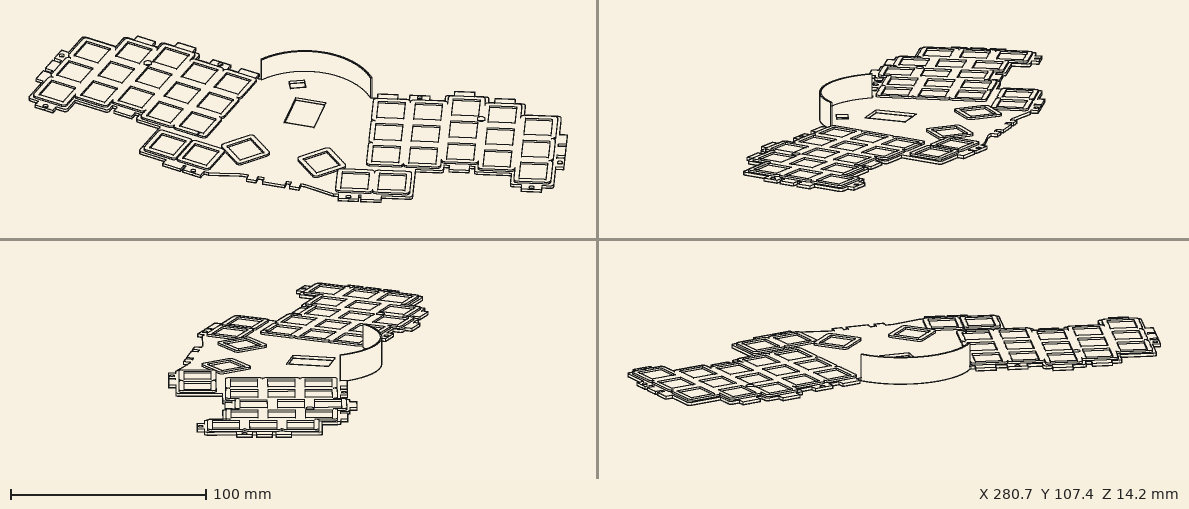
import cadquery as cq
import math

PLATE_TOP = 1.6
PAD_TOP = 2.6
WALL_TOP = 14.2

PITCH = 19.05
ROWS = 3
STAGGER = [0, 0.5 * PITCH, 0.75 * PITCH, 0.5 * PITCH, 0.5 * PITCH]
COLUMNS = [(column * PITCH, rise) for column, rise in enumerate(STAGGER)]
THUMB_KEYS = [(3.75 * PITCH, -0.75 * PITCH), (4.75 * PITCH, -0.75 * PITCH)]
MAIN_KEYS = [(u, v + row * PITCH) for u, v in COLUMNS for row in range(ROWS)]

CELL_HALF = PITCH / 2 + 1.6
CELL_SIZE = 2 * CELL_HALF
CELL_RADIUS = 1.6
PAD_RADIUS = 2.0
POCKET_SIZE = 13.9
THUMB_GROOVE_WIDTH = 0.5

WING_TILT = 12.0
WING_ORIGIN = (-126.57, -4.85)

TAB_LENGTH = 10.4
TAB_REACH = 3.66
SIDE_TAB_LENGTH = 8.0
SIDE_TAB_REACH = 4.12
SIDE_TAB_CENTERS = [29.5, 19.6, 9.4]
TOP_TAB_CENTERS = [(1, 18.6), (2, 39.6), (3, 62.3), (4, 78.7)]
BOTTOM_TAB_COLUMNS = [0, 2]
THUMB_TAB_CENTERS = [81.4, 93.0]
TAB_HOLE_DIAMETER = 2.5
TAB_HOLE_INSET = 1.9
MOUNT_HOLE_DIAMETER = 4.0
MOUNT_HOLE = (29.6, 43.0)

ARC_RADIUS = 37.1
ARC_CENTER_Y = 12.4
ARC_END_X = 29.6
WALL_THICKNESS = 0.8
LOWER_EDGE_Y = -46.8
LOWER_EDGE_HALF = 17.0
LOWER_TAB_Y = -50.4
LOWER_TABS = [(-13.1, -8.0), (-4.7, 7.2), (9.7, 14.8)]
WINDOW_SIZE = (16.0, 22.0)
WINDOW_CENTER_Y = 13.1
SLOT_SIZE = (8.0, 6.0)
SLOT_ANGLE = 23.5
SLOT_CENTER = (-10.3, 35.6)
DIAMOND_CENTER = (20.3, -27.0)
DIAMOND_TURN = 45.0


def block(u0, u1, v0, v1, top=PLATE_TOP):
    """Box between two corners, standing on the bottom plane."""
    return cq.Workplane("XY").box(u1 - u0, v1 - v0, top, centered=False).translate((u0, v0, 0))


def rounded_squares(centers, size, radius, top):
    """Union of square blocks with rounded upright edges."""
    square = cq.Workplane("XY").rect(size, size).extrude(top).edges("|Z").fillet(radius)
    shapes = [square.translate((u, v, 0)) for u, v in centers]
    joined = shapes[0]
    for shape in shapes[1:]:
        joined = joined.union(shape)
    return joined


def place(shape):
    """Carry a shape from the wing frame to the left wing."""
    turned = shape.rotate((0, 0, 0), (0, 0, 1), -WING_TILT)
    return turned.translate((WING_ORIGIN[0], WING_ORIGIN[1], 0))


def placed_point(u, v):
    """Part coordinates of a point of the left wing."""
    tilt = math.radians(WING_TILT)
    x = WING_ORIGIN[0] + u * math.cos(tilt) + v * math.sin(tilt)
    y = WING_ORIGIN[1] - u * math.sin(tilt) + v * math.cos(tilt)
    return x, y


def wing_tabs():
    """Rectangular joint tabs on the outer, upper and lower edges of a wing."""
    tabs = []
    half = TAB_LENGTH / 2
    side_half = SIDE_TAB_LENGTH / 2
    reach = CELL_HALF + TAB_REACH
    for center in SIDE_TAB_CENTERS:
        tabs.append(block(-CELL_HALF - SIDE_TAB_REACH, 0, center - side_half, center + side_half))
    for column, center in TOP_TAB_CENTERS:
        top_key_v = STAGGER[column] + (ROWS - 1) * PITCH
        tabs.append(block(center - half, center + half, top_key_v, top_key_v + reach))
    for column in BOTTOM_TAB_COLUMNS:
        u, v = COLUMNS[column]
        tabs.append(block(u - half, u + half, v - reach, v))
    thumb_v = THUMB_KEYS[0][1]
    for center in THUMB_TAB_CENTERS:
        tabs.append(block(center - half, center + half, thumb_v - reach, thumb_v))
    return tabs


def wing_plate():
    """Flat plate under the keys of one wing."""
    plate = rounded_squares(MAIN_KEYS + THUMB_KEYS, CELL_SIZE, CELL_RADIUS, PLATE_TOP)
    thumb_u, thumb_v = THUMB_KEYS[0]
    plate = plate.union(block(thumb_u - CELL_HALF, THUMB_KEYS[1][0], thumb_v, COLUMNS[3][1]))
    for tab in wing_tabs():
        plate = plate.union(tab)
    return plate


def column_joints():
    """Blocks that close the corner gaps between the pads of neighbouring columns."""
    joints = []
    for (u0, v0), (u1, v1) in zip(COLUMNS, COLUMNS[1:]):
        low = max(v0, v1) - PITCH / 2 + PAD_RADIUS
        high = min(v0, v1) + (ROWS - 0.5) * PITCH - PAD_RADIUS
        joints.append(block(u0, u1, low, high, PAD_TOP))
    return joints


def wing_pads(grooved):
    """Raised key pads of one wing; the groove parts the two thumb pads."""
    pads = rounded_squares(MAIN_KEYS + THUMB_KEYS, PITCH, PAD_RADIUS, PAD_TOP)
    for joint in column_joints():
        pads = pads.union(joint)
    if grooved:
        groove_u = THUMB_KEYS[0][0] + PITCH / 2
        half = THUMB_GROOVE_WIDTH / 2
        thumb_v = THUMB_KEYS[0][1]
        pads = pads.cut(block(groove_u - half, groove_u + half, thumb_v - PITCH, thumb_v + PITCH, PAD_TOP))
    return pads


def wing_pockets():
    """Square pockets of all keys, from the plate's top face upward."""
    pockets = cq.Workplane("XY").workplane(offset=PLATE_TOP).pushPoints(MAIN_KEYS + THUMB_KEYS)
    return pockets.rect(POCKET_SIZE, POCKET_SIZE).extrude(PAD_TOP)


def wing_holes(drilled_side_tab):
    """Screw holes in the tabs and the larger mounting hole."""
    hole_reach = CELL_HALF + TAB_HOLE_INSET
    top_column, top_u = TOP_TAB_CENTERS[2]
    tab_holes = [
        (-hole_reach, SIDE_TAB_CENTERS[drilled_side_tab]),
        (top_u, STAGGER[top_column] + (ROWS - 1) * PITCH + hole_reach),
        (0, -hole_reach),
        (THUMB_TAB_CENTERS[1], THUMB_KEYS[1][1] - hole_reach),
    ]
    holes = cq.Workplane("XY").pushPoints(tab_holes).circle(TAB_HOLE_DIAMETER / 2).extrude(PAD_TOP)
    mount = cq.Workplane("XY").center(*MOUNT_HOLE).circle(MOUNT_HOLE_DIAMETER / 2).extrude(PAD_TOP)
    return holes.union(mount)


def left_wing(drilled_side_tab, grooved):
    """One whole wing, placed on the left."""
    wing = wing_plate().union(wing_pads(grooved))
    wing = wing.cut(wing_pockets()).cut(wing_holes(drilled_side_tab))
    return place(wing)


def arc_height(x, radius):
    """Height in Y of a circle about the arch centre."""
    return ARC_CENTER_Y + math.sqrt(radius**2 - x**2)


def center_plate():
    """Plate between the wings, with an arched top and a tabbed lower edge."""
    end_y = arc_height(ARC_END_X, ARC_RADIUS)
    last_u, last_v = COLUMNS[-1]
    thumb_u, thumb_v = THUMB_KEYS[-1]
    left_side = [
        placed_point(last_u, last_v + (ROWS - 1) * PITCH),
        placed_point(last_u, last_v),
        placed_point(thumb_u, thumb_v),
        placed_point(thumb_u + CELL_HALF - CELL_RADIUS / 2, thumb_v - CELL_HALF),
        (-LOWER_EDGE_HALF, LOWER_EDGE_Y),
    ]
    shoulder = placed_point(last_u, last_v + (ROWS - 1) * PITCH + CELL_HALF)[0]
    outline = cq.Workplane("XY").moveTo(ARC_END_X, end_y)
    outline = outline.threePointArc((0, ARC_CENTER_Y + ARC_RADIUS), (-ARC_END_X, end_y)).lineTo(shoulder, end_y)
    for x, y in left_side:
        outline = outline.lineTo(x, y)
    for x, y in reversed(left_side):
        outline = outline.lineTo(-x, y)
    plate = outline.lineTo(-shoulder, end_y).close().extrude(PLATE_TOP)
    for x0, x1 in LOWER_TABS:
        plate = plate.union(block(x0, x1, LOWER_TAB_Y, LOWER_EDGE_Y))
    return plate


def arched_wall():
    """Upright wall along the arched edge."""
    inner_radius = ARC_RADIUS - WALL_THICKNESS
    end_angle = math.asin(ARC_END_X / ARC_RADIUS)
    inner_x = inner_radius * math.sin(end_angle)
    inner_y = ARC_CENTER_Y + inner_radius * math.cos(end_angle)
    outer_y = arc_height(ARC_END_X, ARC_RADIUS)
    profile = cq.Workplane("XY").moveTo(ARC_END_X, outer_y)
    profile = profile.threePointArc((0, ARC_CENTER_Y + ARC_RADIUS), (-ARC_END_X, outer_y)).lineTo(-inner_x, inner_y)
    profile = profile.threePointArc((0, ARC_CENTER_Y + inner_radius), (inner_x, inner_y)).close()
    return profile.extrude(WALL_TOP)


def diamond_pads():
    """Two raised pads turned on edge, each with a square pocket."""
    x, y = DIAMOND_CENTER
    pad = rounded_squares([(0, 0)], PITCH, PAD_RADIUS, PAD_TOP)
    pocket = cq.Workplane("XY").workplane(offset=PLATE_TOP).rect(POCKET_SIZE, POCKET_SIZE).extrude(PAD_TOP)
    diamond = pad.cut(pocket).rotate((0, 0, 0), (0, 0, 1), DIAMOND_TURN)
    return diamond.translate((-x, y, 0)).union(diamond.translate((x, y, 0)))


def center_openings():
    """Rectangular window and the small tilted slot."""
    window = cq.Workplane("XY").center(0, WINDOW_CENTER_Y).rect(*WINDOW_SIZE).extrude(WALL_TOP)
    slot = cq.Workplane("XY").rect(*SLOT_SIZE).extrude(WALL_TOP)
    slot = slot.rotate((0, 0, 0), (0, 0, 1), SLOT_ANGLE).translate((SLOT_CENTER[0], SLOT_CENTER[1], 0))
    return window.union(slot)


body = center_plate().union(arched_wall()).union(diamond_pads()).cut(center_openings())
body = body.union(left_wing(drilled_side_tab=0, grooved=True))
result = body.union(left_wing(drilled_side_tab=2, grooved=False).mirror("YZ"))